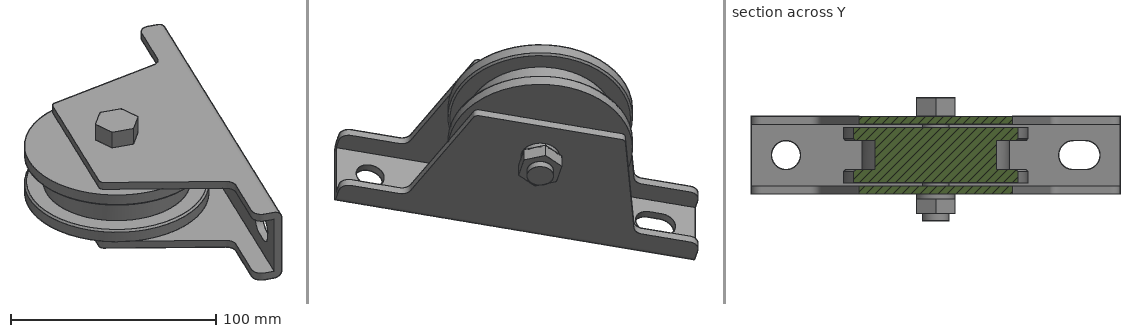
import cadquery as cq
import math


bracket_length = 180.0
bracket_height = 38.0
bracket_depth = 76.0
sheet_thickness = 4.0
bend_radius = 4.0
axis_to_back = 55.0
tab_depth = 14.0
tab_corner_radius = 5.0
arm_root_half_width = 57.0
arm_tip_half_width = 37.5
arm_root_radius = 5.0
arm_tip_radius = 2.5

hole_diameter = 14.0
hole_offset = 73.0
slot_length = 20.0
slot_offset = 70.0

wheel_diameter = 90.0
groove_diameter = 72.0
wheel_width = 27.0
groove_width = 14.0
rim_chamfer = 1.0

bolt_diameter = 13.0
hex_across_flats = 19.0
head_height = 9.0
washer_diameter = 19.0
washer_thickness = 2.5
nut_height = 7.0
bolt_end_length = 3.5

back_y = axis_to_back
tab_y = back_y - tab_depth
tip_y = back_y - bracket_depth
half_length = bracket_length / 2
top_z = bracket_height / 2
bottom_z = -top_z
hex_across_corners = hex_across_flats / math.cos(math.radians(30))


def cylinder(diameter, z_low, z_high):
    """Cylinder on the wheel axis between two heights."""
    return cq.Workplane("XY").workplane(offset=z_low).circle(diameter / 2).extrude(z_high - z_low)


def hexagon(z_low, z_high):
    """Hexagonal prism on the wheel axis with corners pointing along Y."""
    prism = cq.Workplane("XY").workplane(offset=z_low).polygon(6, hex_across_corners).extrude(z_high - z_low)
    return prism.rotate((0, 0, 0), (0, 0, 1), 90)


def make_plan():
    """Block with the outline of the bracket seen along the wheel axis."""
    outline = [
        (-half_length, back_y),
        (-half_length, tab_y),
        (-arm_root_half_width, tab_y),
        (-arm_tip_half_width, tip_y),
        (arm_tip_half_width, tip_y),
        (arm_root_half_width, tab_y),
        (half_length, tab_y),
        (half_length, back_y),
    ]
    plan = cq.Workplane("XY").workplane(offset=bottom_z).polyline(outline).close().extrude(bracket_height)
    rounded_corners = [
        (half_length, tab_y, tab_corner_radius),
        (arm_root_half_width, tab_y, arm_root_radius),
        (arm_tip_half_width, tip_y, arm_tip_radius),
    ]
    for x, y, radius in rounded_corners:
        for side in (-1, 1):
            corner = cq.selectors.NearestToPointSelector((side * x, y, 0))
            plan = plan.edges("|Z").edges(corner).fillet(radius)
    return plan


def make_bracket():
    """Plan outline bent into a U from sheet, with the mounting holes."""
    bracket = make_plan().edges(">Y and |X").fillet(bend_radius)
    inner_height = bracket_height - 2 * sheet_thickness
    inner_space = (
        cq.Workplane("XY")
        .box(bracket_length, bracket_depth, inner_height, centered=(True, False, True))
        .translate((0, tip_y - sheet_thickness, 0))
    )
    wall_plane = cq.Workplane("XZ", origin=(0, back_y, 0))
    round_hole = wall_plane.center(-hole_offset, 0).circle(hole_diameter / 2).extrude(sheet_thickness)
    slot = wall_plane.center(slot_offset, 0).slot2D(slot_length, hole_diameter).extrude(sheet_thickness)
    return bracket.cut(inner_space).cut(round_hole).cut(slot)


def make_wheel():
    """Wheel with two flanges chamfered on their groove-side edges."""
    wheel = cylinder(groove_diameter, -groove_width / 2, groove_width / 2)
    upper_flange = cylinder(wheel_diameter, groove_width / 2, wheel_width / 2)
    upper_flange = upper_flange.faces("<Z").chamfer(rim_chamfer)
    lower_flange = upper_flange.mirror("XY")
    return wheel.union(upper_flange).union(lower_flange)


def make_bolt():
    """Hex bolt through the bracket arms, with washer and nut underneath."""
    washer_z = bottom_z - washer_thickness
    nut_z = washer_z - nut_height
    end_z = nut_z - bolt_end_length
    shank = cylinder(bolt_diameter, end_z, top_z)
    head = hexagon(top_z, top_z + head_height)
    washer = cylinder(washer_diameter, washer_z, bottom_z)
    nut = hexagon(nut_z, washer_z)
    return shank.union(head).union(washer).union(nut)


result = make_bracket().union(make_wheel()).union(make_bolt())